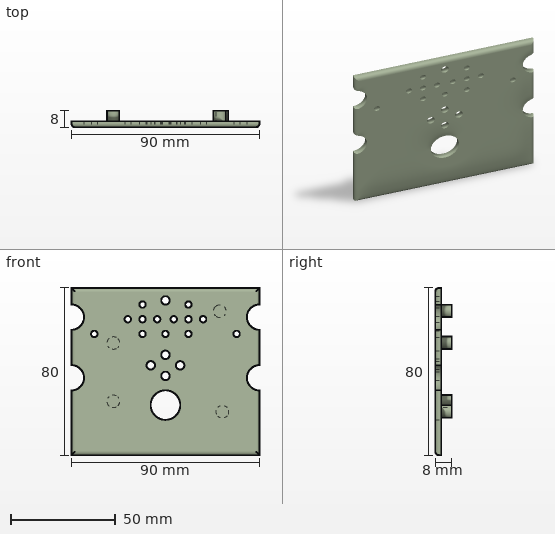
import cadquery as cq

width = 90.0
height = 80.0
total_depth = 8.0
plate_thickness = 3.0
front_edge_radius = 2.0

notch_radius = 6.0
notch_heights = [26.0, -3.0]

small_hole_diameter = 3.0
medium_hole_diameter = 4.0
large_hole_diameter = 14.0
large_hole_z = -16.0

cross_x = 11.0
cross_z = 25.0
cross_pitch = 7.0
lower_row_z = cross_z - cross_pitch
outer_hole_x = 34.0

diamond_z = 3.0
diamond_half_width = 7.0
diamond_half_height = 5.0
top_hole_z = 34.0

post_diameter = 6.0
post_length = total_depth - plate_thickness
post_centres = [(-25.0, 13.8), (-25.0, -14.1), (25.8, 29.0), (27.1, -19.1)]


def rods(centres, diameter, start_y, length):
    """Cylinders along +Y at the given (X, Z) centres."""
    plane = cq.Workplane("XZ", origin=(0, start_y, 0))
    return plane.pushPoints(centres).circle(diameter / 2).extrude(-length)


def through_cutters(centres, diameter):
    return rods(centres, diameter, 0, plate_thickness)


def cross_centres(side):
    """Five holes in a plus-shaped cross; side is -1 for left and 1 for right."""
    x = side * cross_x
    return [
        (x, cross_z),
        (x - cross_pitch, cross_z),
        (x + cross_pitch, cross_z),
        (x, cross_z - cross_pitch),
        (x, cross_z + cross_pitch),
    ]


plate = cq.Workplane("XY").box(width, plate_thickness, height, centered=(True, False, True))
plate = plate.faces("<Y").edges().fillet(front_edge_radius)

notch_centres = [(side * width / 2, z) for side in (-1, 1) for z in notch_heights]
plate = plate.cut(through_cutters(notch_centres, 2 * notch_radius))

small_holes = cross_centres(-1) + cross_centres(1)
small_holes += [(x, lower_row_z) for x in (-outer_hole_x, 0, outer_hole_x)]
plate = plate.cut(through_cutters(small_holes, small_hole_diameter))

medium_holes = [
    (0, top_hole_z),
    (0, diamond_z + diamond_half_height),
    (0, diamond_z - diamond_half_height),
    (-diamond_half_width, diamond_z),
    (diamond_half_width, diamond_z),
]
plate = plate.cut(through_cutters(medium_holes, medium_hole_diameter))

plate = plate.cut(through_cutters([(0, large_hole_z)], large_hole_diameter))

result = plate.union(rods(post_centres, post_diameter, plate_thickness, post_length))